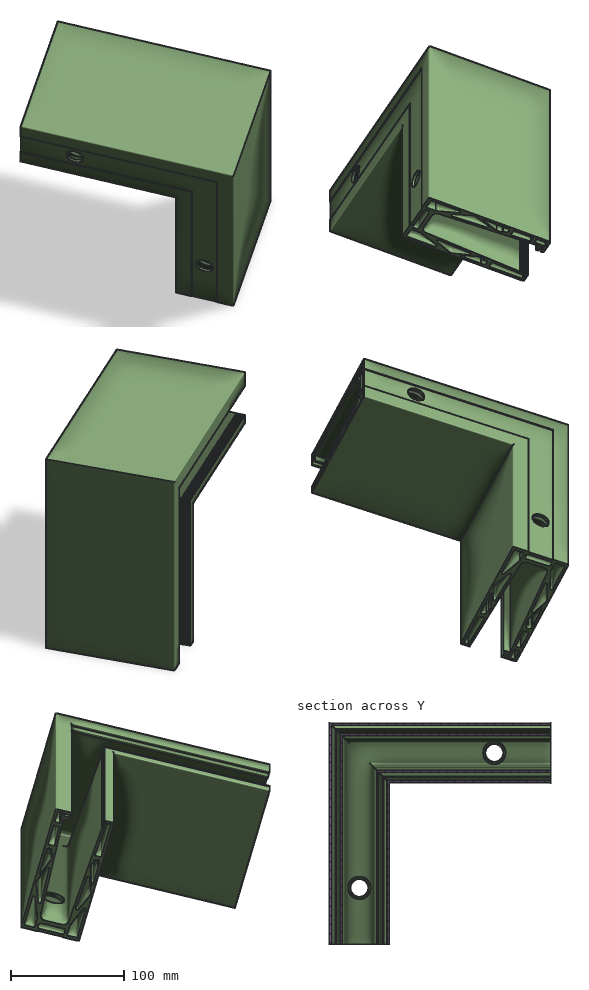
import cadquery as cq

LEG_LENGTH = 196.0
PROFILE_DEPTH = 120.3
PROFILE_HEIGHT = 53.3
OUTER_FACE = LEG_LENGTH
INNER_FACE = LEG_LENGTH - PROFILE_HEIGHT
EDGE_RADIUS = 1.2

STRIP_MARGIN = 14.7
STRIP_RECESS = 0.4
STEP_WIDTH = 0.5

CAVITY_FRONT = 12.0
CAVITY_RADIUS = 4.9
CAVITY_MARGIN_FRONT = 14.1
CAVITY_MARGIN_BACK = 8.6

LIP_DROP = 14.5
LIP_BACK_WALL = 2.7
LIP_GROOVE = 2.2
LIP_TOOTH = 3.0
LIP_TIP_RADIUS = 0.5

GRIP_GROOVE_COUNT = 7
GRIP_GROOVE_PITCH = 1.2
GRIP_GROOVE_WIDTH = 0.8
GRIP_GROOVE_DEPTH = 0.49
GRIP_START = PROFILE_DEPTH - GRIP_GROOVE_COUNT * GRIP_GROOVE_PITCH

WALL = 2.4
WEB = 2.2
CORNER_RADIUS = 0.5
APEX_RADIUS = 5.9
APEX_MARGIN = 1.5
REAR_CHAMBER_BACK = 118.2
REAR_CHAMBER_FRONT = 84.9
BOX_CHAMBER_FRONT = 107.8
BOX_CHAMBER_MARGIN = 6.9
BOX_DIVIDER = 3.5
SCREW_PORT_RADIUS = 2.5
SCREW_PORT_DEPTH = 78.8
WEDGE_BACK = 76.8
WEDGE_KNEE = 71.3
OUTER_WEDGE_TIP = 55.3
INNER_WEDGE_TIP = 56.8
OUTER_TRIANGLE_BACK = 62.7
OUTER_TRIANGLE_APEX = 46.0
OUTER_TRIANGLE_FRONT = 27.2
INNER_TRIANGLE_BACK = 63.3
INNER_TRIANGLE_APEX = 47.0
INNER_TRIANGLE_FRONT = 29.5
FRONT_CHAMBER_BACK = 32.3
FRONT_CHAMBER_KNEE = 12.5
FRONT_CHAMBER_FRONT = 3.0
FRONT_CHAMBER_MARGIN = 11.8
TIP_HEIGHT = 2.2
SLOT_FRONT = 3.0
SLOT_BACK = 8.5
SLOT_HEIGHT = 24.5
SLOT_RADIUS = 2.0

FRONT_HOLE_DIAMETER = 15.7
INNER_HOLE_DIAMETER = 20.0
HOLE_FROM_END = 50.0


def from_outer(margin):
    return OUTER_FACE - margin


def from_inner(margin):
    return INNER_FACE + margin


def cavity_margin(depth):
    """Distance from the outer or inner face to the tapered cavity wall."""
    taper = (CAVITY_MARGIN_FRONT - CAVITY_MARGIN_BACK) / (PROFILE_DEPTH - CAVITY_FRONT)
    return CAVITY_MARGIN_FRONT - taper * (depth - CAVITY_FRONT)


def web_margin(depth):
    """Distance to the chamber side of the web that lines the cavity."""
    return cavity_margin(depth) - WEB


def polygon(points, side=lambda position: position):
    """Closed outline; margins are placed from a side, otherwise taken as positions."""
    outline = [(depth, side(margin)) for depth, margin in points]
    return cq.Sketch().polygon(outline + outline[:1])


def body_sketch():
    centre = (PROFILE_DEPTH / 2, INNER_FACE + PROFILE_HEIGHT / 2)
    body = cq.Sketch().push([centre]).rect(PROFILE_DEPTH, PROFILE_HEIGHT)
    return body.reset().vertices().fillet(EDGE_RADIUS).reset()


def strip_sketch():
    low = from_inner(STRIP_MARGIN)
    high = from_outer(STRIP_MARGIN)
    return polygon([(0, low), (STRIP_RECESS, low + STEP_WIDTH), (STRIP_RECESS, high - STEP_WIDTH), (0, high)])


def cavity_sketch():
    points = [
        (CAVITY_FRONT, from_inner(CAVITY_MARGIN_FRONT)),
        (CAVITY_FRONT, from_outer(CAVITY_MARGIN_FRONT)),
        (PROFILE_DEPTH, from_outer(CAVITY_MARGIN_BACK)),
        (PROFILE_DEPTH, from_inner(CAVITY_MARGIN_BACK)),
    ]
    return polygon(points).vertices("<X").fillet(CAVITY_RADIUS).reset()


def lip_sketches():
    """Back wall and tooth of the lip, each hanging from the outer slab."""
    tooth_back = PROFILE_DEPTH - LIP_BACK_WALL - LIP_GROOVE
    sketches = []
    for back, width in ((PROFILE_DEPTH, LIP_BACK_WALL), (tooth_back, LIP_TOOTH)):
        front = back - width
        points = [(back, BOX_CHAMBER_MARGIN), (back, LIP_DROP), (front, LIP_DROP), (front, BOX_CHAMBER_MARGIN)]
        sketches.append(polygon(points, from_outer).vertices("<Y").fillet(LIP_TIP_RADIUS).reset())
    return sketches


def grip_groove_sketches():
    """V-grooves cut into the cavity face of the inner slab."""
    sketches = []
    for index in range(GRIP_GROOVE_COUNT):
        front = GRIP_START + index * GRIP_GROOVE_PITCH
        root = front + GRIP_GROOVE_WIDTH / 2
        back = front + GRIP_GROOVE_WIDTH
        points = [
            (front, cavity_margin(front)),
            (root, cavity_margin(root) - GRIP_GROOVE_DEPTH),
            (back, cavity_margin(back)),
        ]
        sketches.append(polygon(points, from_inner))
    return sketches


def rear_chamber(side, back):
    points = [
        (back, WALL),
        (REAR_CHAMBER_FRONT, WALL),
        (REAR_CHAMBER_FRONT, web_margin(REAR_CHAMBER_FRONT)),
        (back, web_margin(back)),
    ]
    return polygon(points, side).vertices("<X").fillet(CORNER_RADIUS).reset()


def box_chamber():
    points = [
        (REAR_CHAMBER_BACK, WALL),
        (BOX_CHAMBER_FRONT, WALL),
        (BOX_CHAMBER_FRONT, BOX_CHAMBER_MARGIN),
        (REAR_CHAMBER_BACK, BOX_CHAMBER_MARGIN),
    ]
    return polygon(points, from_outer)


def screw_port(side):
    centre = (SCREW_PORT_DEPTH, side(WALL + SCREW_PORT_RADIUS))
    return cq.Sketch().push([centre]).circle(SCREW_PORT_RADIUS).reset()


def wedge_chamber(side, tip):
    points = [
        (WEDGE_BACK, WALL),
        (tip, WALL),
        (tip, WALL + TIP_HEIGHT / 2),
        (WEDGE_KNEE, web_margin(WEDGE_KNEE)),
        (WEDGE_BACK, web_margin(WEDGE_BACK)),
    ]
    return polygon(points, side).vertices("<X").fillet(CORNER_RADIUS).reset()


def triangle_chamber(side, back, apex, front, apex_selector):
    points = [
        (back, web_margin(back)),
        (back, web_margin(back) - TIP_HEIGHT),
        (apex, APEX_MARGIN),
        (front, web_margin(front) - TIP_HEIGHT),
        (front, web_margin(front)),
    ]
    sketch = polygon(points, side).vertices(apex_selector).fillet(APEX_RADIUS).reset()
    return sketch.vertices("<X or >X").fillet(CORNER_RADIUS).reset()


def front_chamber(side):
    points = [
        (FRONT_CHAMBER_BACK, WALL),
        (FRONT_CHAMBER_FRONT, WALL),
        (FRONT_CHAMBER_FRONT, FRONT_CHAMBER_MARGIN),
        (FRONT_CHAMBER_KNEE, FRONT_CHAMBER_MARGIN),
        (FRONT_CHAMBER_BACK, WALL + TIP_HEIGHT),
    ]
    return polygon(points, side).vertices("<X or >X").fillet(CORNER_RADIUS).reset()


def slot_chamber():
    centre = ((SLOT_FRONT + SLOT_BACK) / 2, INNER_FACE + PROFILE_HEIGHT / 2)
    slot = cq.Sketch().push([centre]).rect(SLOT_BACK - SLOT_FRONT, SLOT_HEIGHT)
    return slot.reset().vertices().fillet(SLOT_RADIUS).reset()


def chamber_sketches():
    sketches = [
        box_chamber(),
        rear_chamber(from_outer, BOX_CHAMBER_FRONT - BOX_DIVIDER),
        rear_chamber(from_inner, REAR_CHAMBER_BACK),
        triangle_chamber(from_outer, OUTER_TRIANGLE_BACK, OUTER_TRIANGLE_APEX, OUTER_TRIANGLE_FRONT, ">Y"),
        triangle_chamber(from_inner, INNER_TRIANGLE_BACK, INNER_TRIANGLE_APEX, INNER_TRIANGLE_FRONT, "<Y"),
        slot_chamber(),
    ]
    for side, wedge_tip in ((from_outer, OUTER_WEDGE_TIP), (from_inner, INNER_WEDGE_TIP)):
        sketches += [screw_port(side), wedge_chamber(side, wedge_tip), front_chamber(side)]
    return sketches


def leg(plane, length, miter_corner):
    """Extrude the profile from the origin and trim it at the 45-degree miter."""

    def extruded(sketch):
        return cq.Workplane(plane).placeSketch(sketch).extrude(length)

    solid = extruded(body_sketch()).cut(extruded(strip_sketch())).cut(extruded(cavity_sketch()))
    for sketch in lip_sketches():
        solid = solid.union(extruded(sketch))
    for sketch in grip_groove_sketches() + chamber_sketches():
        solid = solid.cut(extruded(sketch))
    miter = (
        cq.Workplane("XZ")
        .polyline([(0, 0), miter_corner, (LEG_LENGTH, LEG_LENGTH)])
        .close()
        .extrude(-PROFILE_DEPTH)
    )
    return solid.intersect(miter)


def hole_pair(diameter, start_depth, end_depth):
    """One cylinder per leg, centred on the leg and running in +Y."""
    centreline = LEG_LENGTH - PROFILE_HEIGHT / 2
    return (
        cq.Workplane("XZ", origin=(0, start_depth, 0))
        .pushPoints([(HOLE_FROM_END, centreline), (centreline, HOLE_FROM_END)])
        .circle(diameter / 2)
        .extrude(start_depth - end_depth)
    )


horizontal_leg = leg("YZ", LEG_LENGTH, (0, LEG_LENGTH))
upright_leg = leg("YX", -LEG_LENGTH, (LEG_LENGTH, 0))
slot_middle = (SLOT_FRONT + SLOT_BACK) / 2
front_holes = hole_pair(FRONT_HOLE_DIAMETER, 0, slot_middle)
inner_holes = hole_pair(INNER_HOLE_DIAMETER, slot_middle, CAVITY_FRONT + CAVITY_RADIUS)

corner = horizontal_leg.union(upright_leg, clean=False)
result = corner.cut(front_holes, clean=False).cut(inner_holes, clean=False)